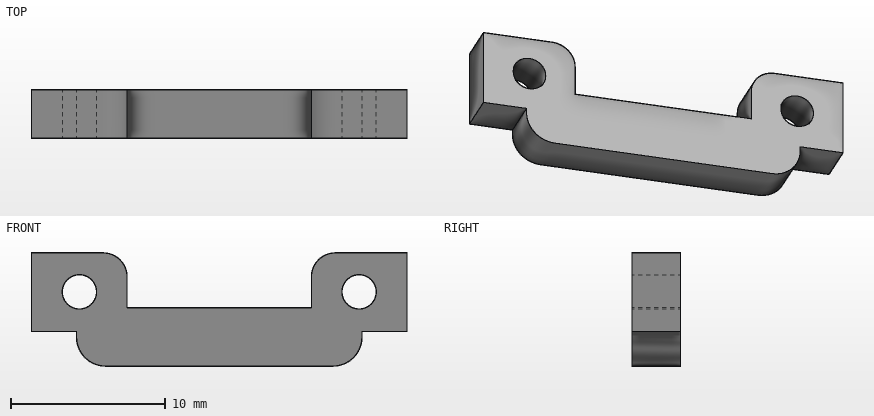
import cadquery as cq

length = 24.38
thickness = 3.175
height = 7.37

lug_width = 6.22
lug_height = 5.12
lug_corner_radius = 1.575

bar_length = 18.54
bar_top = 3.8
bar_corner_radius = 1.905

hole_diameter = 2.21
hole_spacing = 18.15
hole_drop = 2.54


def block(x_center, width, z_bottom, z_top):
    """Full-thickness box, centred on Y, spanning z_bottom to z_top."""
    return (
        cq.Workplane("XY", origin=(x_center, 0, z_bottom))
        .box(width, thickness, z_top - z_bottom, centered=(True, True, False))
    )


def central_bar():
    """Bar with its two lower corners rounded."""
    bar = block(0, bar_length, 0, bar_top)
    return bar.edges("|Y and <Z").fillet(bar_corner_radius)


def end_lug(side):
    """Lug at one end (side is -1 or +1), with its inner top corner rounded."""
    x_center = side * (length - lug_width) / 2
    lug = block(x_center, lug_width, height - lug_height, height)
    inner_face = "<X" if side > 0 else ">X"
    return lug.faces(inner_face).edges(">Z").fillet(lug_corner_radius)


def mounting_hole(side):
    """Cutter for the hole through one lug, along Y."""
    return (
        cq.Workplane("XZ", origin=(side * hole_spacing / 2, 0, height - hole_drop))
        .circle(hole_diameter / 2)
        .extrude(thickness, both=True)
    )


result = central_bar()
for end in (-1, 1):
    result = result.union(end_lug(end))
result = result.clean()
for end in (-1, 1):
    result = result.cut(mounting_hole(end))